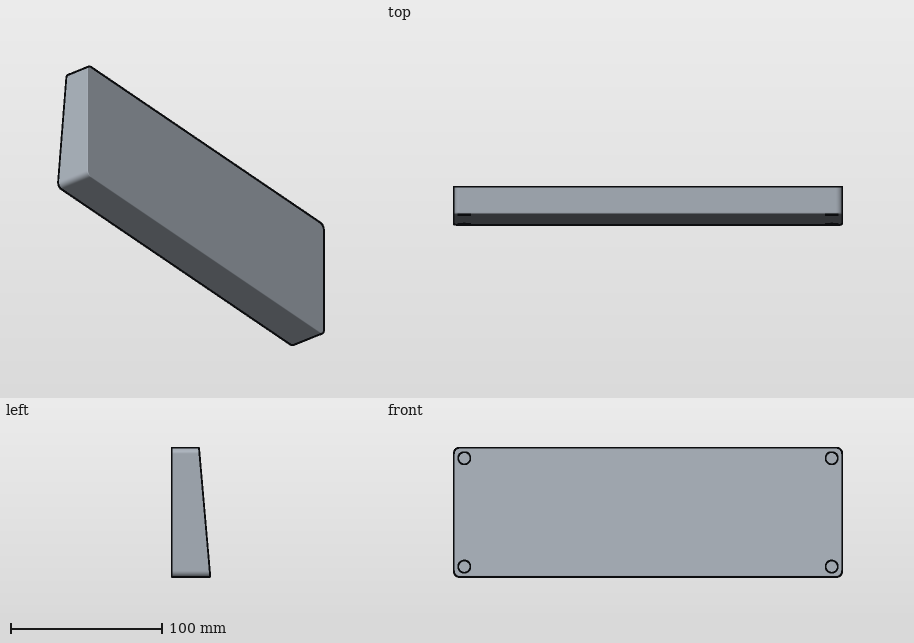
import cadquery as cq
import math

length = 256.6
height = 85.6
depth_at_bottom = 25.49
slope_angle = 5.0

corner_radius = 4.0
front_fillet = 1.0
back_fillet = 0.5

foot_diameter = 8.1
foot_recess_depth = 0.5
foot_edge_inset = 7.0

slope = math.tan(math.radians(slope_angle))
edge_trim = front_fillet * (slope + 1 / math.cos(math.radians(slope_angle)) - 1)
sharp_depth_at_bottom = depth_at_bottom + edge_trim
depth_at_top = sharp_depth_at_bottom - height * slope


def make_wedge():
    """Wedge with a flat back at Y = 0 and a sloping front on the -Y side."""
    side_profile = [
        (0, 0),
        (-sharp_depth_at_bottom, 0),
        (-depth_at_top, height),
        (0, height),
    ]
    wedge = cq.Workplane("YZ").polyline(side_profile).close().extrude(length / 2, both=True)
    wedge = wedge.edges("|Y").fillet(corner_radius)
    wedge = wedge.faces(">Y").edges().fillet(back_fillet)
    return wedge.faces("<Y").edges().fillet(front_fillet)


def foot_recess(x, z):
    """Cylinder that cuts one foot recess into the sloping face at the given X and Z."""
    surface_point = cq.Vector(x, z * slope - sharp_depth_at_bottom, z)
    inward = cq.Vector(0, 1, -slope)
    return cq.Solid.makeCylinder(foot_diameter / 2, foot_recess_depth, surface_point, inward)


result = make_wedge()
foot_x = length / 2 - foot_edge_inset
for x in (-foot_x, foot_x):
    for z in (foot_edge_inset, height - foot_edge_inset):
        result = result.cut(cq.Workplane(foot_recess(x, z)))